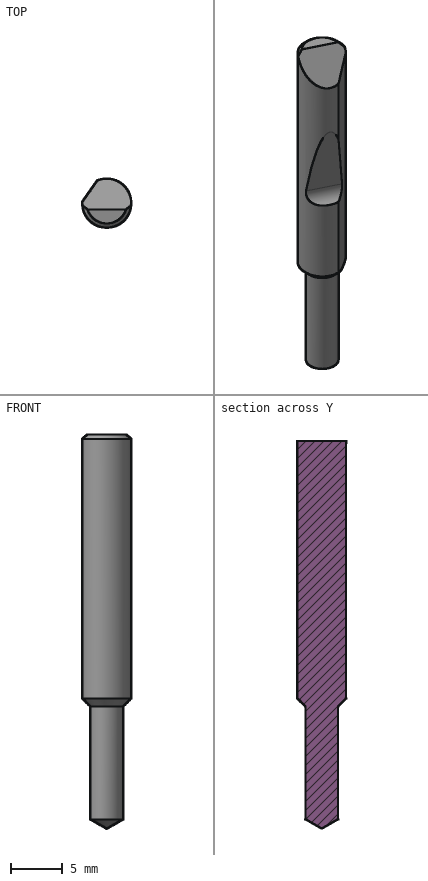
import cadquery as cq
import math

length = 38.1
shank_diameter = 4.75
shank_radius = shank_diameter / 2
pin_radius = 1.6
tip_angle = 30.0
tip_height = pin_radius * math.tan(math.radians(tip_angle))

shoulder_top = 12.6
shoulder_height = shank_radius - pin_radius
top_chamfer = 0.42

bevel_start_y = -0.6

flat_distance = 2.02
flat_direction = 145.0

notch_bottom = 21.1
notch_top = 29.85
notch_angle = 9.0
notch_radius = 1.15

cut_size = 2 * shank_diameter


def turned_body():
    profile = [
        (0, 0),
        (pin_radius, tip_height),
        (pin_radius, shoulder_top - shoulder_height),
        (shank_radius, shoulder_top),
        (shank_radius, length - top_chamfer),
        (shank_radius - top_chamfer, length),
        (0, length),
    ]
    return cq.Workplane("XZ").polyline(profile).close().revolve(360, (0, 0), (0, 1))


def extrude_across(outline):
    """Extrude a closed (Y, Z) outline along X, through the whole part."""
    return cq.Workplane("YZ").polyline(outline).close().extrude(cut_size / 2, both=True)


def bevel_cutter():
    outer_y = bevel_start_y + cut_size
    return extrude_across([
        (bevel_start_y, length),
        (outer_y, length),
        (outer_y, length - cut_size),
    ])


def flat_cutter():
    return (
        cq.Workplane("XY")
        .box(cut_size, cut_size, length, centered=(False, True, False))
        .translate((flat_distance, 0, 0))
        .rotate((0, 0, 0), (0, 0, 1), flat_direction)
    )


def notch_cutter():
    slope = math.tan(math.radians(notch_angle))
    inner_y = shank_radius - (notch_top - notch_bottom) * slope
    outer_y = shank_diameter
    outer_z = notch_top + (outer_y - shank_radius) / slope
    cutter = extrude_across([
        (outer_y, notch_bottom),
        (inner_y, notch_bottom),
        (outer_y, outer_z),
    ])
    return cutter.edges("<Y").fillet(notch_radius)


result = turned_body().cut(bevel_cutter()).cut(flat_cutter()).cut(notch_cutter())